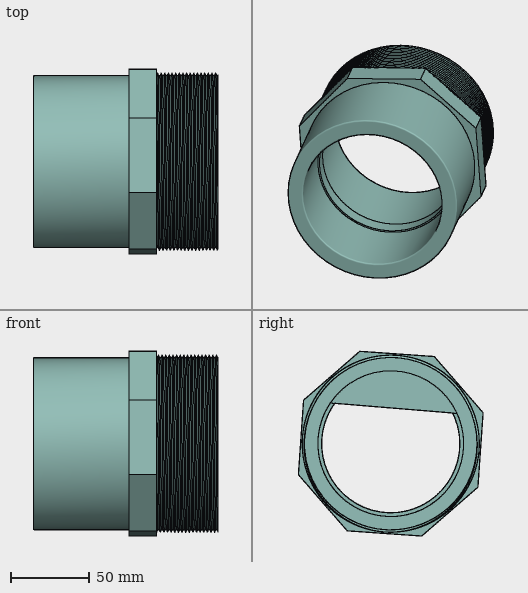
import cadquery as cq
import math

OUTER_SIZE = 118.0

SOCKET_END_LENGTH = 61.0
COLLAR_WIDTH = 17.7
SOCKET_FACE_X = -OUTER_SIZE / 2
THREAD_FACE_X = OUTER_SIZE / 2
COLLAR_START_X = SOCKET_FACE_X + SOCKET_END_LENGTH
COLLAR_END_X = COLLAR_START_X + COLLAR_WIDTH
SPIGOT_LENGTH = THREAD_FACE_X - COLLAR_END_X

PIPE_RADIUS = 110.0 / 2
SOCKET_RADIUS = 90.0 / 2
STOP_RING_RADIUS = 88.0 / 2
OUTLET_RADIUS = 93.0 / 2
SOCKET_DEPTH = 51.1
OUTLET_DEPTH = 56.2
RIM_FILLET = 1.0

COLLAR_SIDES = 8
COLLAR_TILT = 4.0
CORNER_ANGLE = 180 / COLLAR_SIDES - COLLAR_TILT
COLLAR_ACROSS_CORNERS = OUTER_SIZE / math.cos(math.radians(CORNER_ANGLE))

WALL_THICKNESS = 0.2
WALL_EDGE_HEIGHT = 22.7

SPIGOT_TURNS = 17
THREAD_PITCH = SPIGOT_LENGTH / SPIGOT_TURNS
THREAD_RADIUS = 113.0 / 2
RIDGE_BASE_WIDTH = 1.4
OVERRUN_TURNS = 2

END_TILT = 4.7

ORIGIN = (0, 0, 0)
X_AXIS = (1, 0, 0)
Y_AXIS = (0, 1, 0)


def cylinder(radius, start_x, end_x):
    """Solid cylinder on the X axis."""
    return cq.Workplane("YZ", origin=(start_x, 0, 0)).circle(radius).extrude(end_x - start_x)


def make_collar():
    collar = (
        cq.Workplane("YZ", origin=(COLLAR_START_X, 0, 0))
        .polygon(COLLAR_SIDES, COLLAR_ACROSS_CORNERS)
        .extrude(COLLAR_WIDTH)
    )
    return collar.rotate(ORIGIN, X_AXIS, CORNER_ANGLE)


def make_end_wall():
    """Circular segment closing the top of the outlet, flush with the threaded end."""
    start_x = THREAD_FACE_X - WALL_THICKNESS
    rim_radius = (OUTLET_RADIUS + PIPE_RADIUS) / 2
    above_edge = (
        cq.Workplane("YZ", origin=(start_x, 0, WALL_EDGE_HEIGHT + PIPE_RADIUS))
        .rect(2 * PIPE_RADIUS, 2 * PIPE_RADIUS)
        .extrude(WALL_THICKNESS)
    )
    segment = cylinder(rim_radius, start_x, THREAD_FACE_X).intersect(above_edge)
    return segment.rotate(ORIGIN, X_AXIS, -END_TILT)


def make_fitting():
    pipe = cylinder(PIPE_RADIUS, SOCKET_FACE_X, THREAD_FACE_X)
    socket = cylinder(SOCKET_RADIUS, SOCKET_FACE_X, SOCKET_FACE_X + SOCKET_DEPTH)
    stop_ring_hole = cylinder(STOP_RING_RADIUS, SOCKET_FACE_X, THREAD_FACE_X)
    outlet = cylinder(OUTLET_RADIUS, THREAD_FACE_X - OUTLET_DEPTH, THREAD_FACE_X)
    body = pipe.union(make_collar()).cut(socket).cut(stop_ring_hole).cut(outlet)
    body = body.faces("<X").edges().fillet(RIM_FILLET)
    return body.union(make_end_wall())


def make_ridge(turns):
    """Right-hand helical ridge of triangular section, rising along Z from the origin."""
    half_base = RIDGE_BASE_WIDTH / 2
    corners = [(PIPE_RADIUS, -half_base), (THREAD_RADIUS, 0), (PIPE_RADIUS, half_base)]
    helices = [
        cq.Wire.makeHelix(THREAD_PITCH, turns * THREAD_PITCH, radius, center=cq.Vector(0, 0, height))
        for radius, height in corners
    ]
    faces = []
    for i, helix in enumerate(helices):
        next_helix = helices[(i + 1) % len(helices)]
        faces += cq.Face.makeRuledSurface(helix, next_helix).Faces()
    for end in (0, 1):
        outline = cq.Wire.makePolygon([helix.positionAt(end) for helix in helices], close=True)
        faces.append(cq.Face.makeFromWires(outline))
    return cq.Workplane(cq.Solid.makeSolid(cq.Shell.makeShell(faces)).fix())


def make_thread():
    """Single-start ridge on the spigot, trimmed flat at the collar and at the end face."""
    turns = SPIGOT_TURNS + 2 * OVERRUN_TURNS
    start_x = THREAD_FACE_X + (OVERRUN_TURNS - turns) * THREAD_PITCH
    ridge = (
        make_ridge(turns)
        .rotate(ORIGIN, Y_AXIS, 90)
        .rotate(ORIGIN, X_AXIS, -END_TILT)
        .translate((start_x, 0, 0))
    )
    spigot_zone = cylinder(2 * THREAD_RADIUS, COLLAR_END_X, THREAD_FACE_X)
    return ridge.intersect(spigot_zone)


fitting = make_fitting()
thread = make_thread()

result = cq.Compound.makeCompound([fitting.solids().val(), thread.solids().val()])